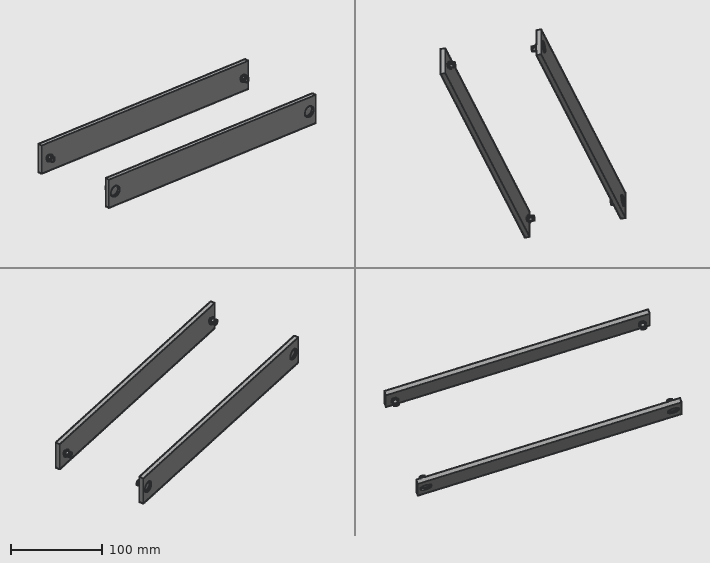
import cadquery as cq

overall_width = 116.0
panel_length = 305.5
panel_height = 35.0
panel_thickness = 5.5

fastener_end_inset = 9.5
fastener_y = panel_length / 2 - fastener_end_inset

recess_diameter = 13.0
recess_depth = 2.8
head_diameter = 12.2
head_flat_diameter = 7.0
head_height = 2.0
head_rim_height = 0.4
head_dome_bulge = 0.25
shank_diameter = 4.8

nut_gap = 1.0
flange_height = 1.8
flange_root_diameter = 5.4
flange_diameter = 9.0
flange_bulge = 0.3
barrel_diameter = 6.3
barrel_length = 3.8
collar_diameter = 6.1
collar_length = 1.4
slot_width = 1.6

nut_start = panel_thickness + nut_gap
flange_end = nut_start + flange_height
barrel_end = flange_end + barrel_length
fastener_tip = barrel_end + collar_length


def cylinder(diameter, start, end):
    """Cylinder along X between two axial stations."""
    return cq.Workplane("YZ").workplane(offset=start).circle(diameter / 2).extrude(end - start)


def flared_disc(start, start_diameter, end, end_diameter, bulge):
    """Disc along X that widens from start to end in a convex curve rising by bulge."""
    start_radius = start_diameter / 2
    end_radius = end_diameter / 2
    middle = ((start + end) / 2 - bulge, (start_radius + end_radius) / 2 + bulge)
    return (
        cq.Workplane("XY")
        .moveTo(start, 0)
        .lineTo(start, start_radius)
        .threePointArc(middle, (end, end_radius))
        .lineTo(end, 0)
        .close()
        .revolve(360, (0, 0, 0), (1, 0, 0))
    )


def make_panel():
    """Left-hand panel with its outer face at X = 0, recessed and bored for the screws."""
    panel = cq.Workplane("XY").box(
        panel_thickness, panel_length, panel_height, centered=(False, True, True)
    )
    recess = cylinder(recess_diameter, 0, recess_depth)
    bore = cylinder(shank_diameter, recess_depth, panel_thickness)
    for end in (-1, 1):
        offset = (0, end * fastener_y, 0)
        panel = panel.cut(recess.translate(offset)).cut(bore.translate(offset))
    return panel


def make_screw():
    """Screw with its head seated on the recess floor and its shank flush with the nut's tip."""
    crown = recess_depth - head_height
    rim = recess_depth - head_rim_height
    dome = flared_disc(crown, head_flat_diameter, rim, head_diameter, head_dome_bulge)
    head_rim = cylinder(head_diameter, rim, recess_depth)
    shank = cylinder(shank_diameter, recess_depth, fastener_tip)
    return dome.union(head_rim).union(shank)


def make_nut():
    """Nut around the shank, with a slot across its barrel along Y."""
    flange = flared_disc(nut_start, flange_root_diameter, flange_end, flange_diameter, flange_bulge)
    barrel = cylinder(barrel_diameter, flange_end, barrel_end)
    collar = cylinder(collar_diameter, barrel_end, fastener_tip)
    slot = cq.Workplane("XY").box(
        barrel_length, barrel_diameter, slot_width, centered=(False, True, True)
    ).translate((flange_end, 0, 0))
    bore = cylinder(shank_diameter, nut_start, fastener_tip)
    return flange.union(barrel).union(collar).cut(slot).cut(bore)


def on_both_sides(left_body):
    """Place a left-hand body on the left and its half-turn copy on the right."""
    left = left_body.translate((-overall_width / 2, 0, 0))
    right = left.rotate((0, 0, 0), (0, 0, 1), 180)
    return [left.val(), right.val()]


panels = on_both_sides(make_panel())

screws = []
nuts = []
for end in (-1, 1):
    offset = (0, end * fastener_y, 0)
    screws += on_both_sides(make_screw().translate(offset))
    nuts += on_both_sides(make_nut().translate(offset))

result = cq.Compound.makeCompound([*panels, *screws, *nuts])